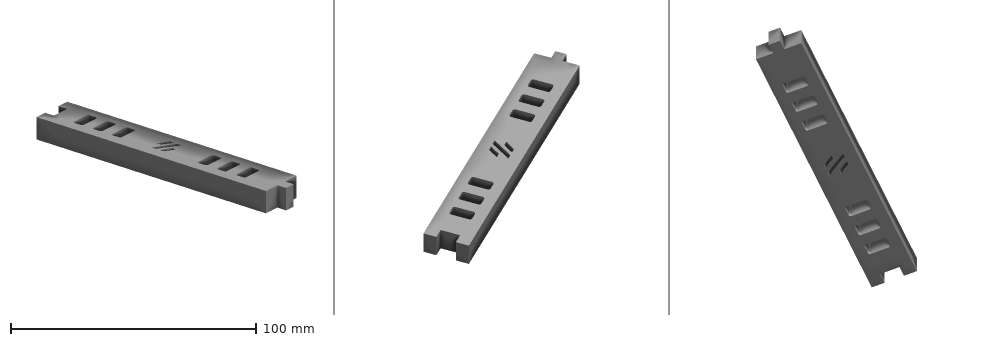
import cadquery as cq
import math

overall_length = 124.5
tab_length = 4.5
bar_length = overall_length - tab_length
bar_width = 20.0
bar_height = 10.0

tab_width = 5.0
notch_depth = 4.6
notch_width = 8.6

window_width = 5.0
window_length = 10.0
window_corner_radius = 1.0
window_pitch = 10.0
windows_per_side = 3
inner_window_x = 22.5

slant_angle = 32.5
long_slot_height = 9.3
slanted_slot_width = 2.2
slanted_slot_pitch = 4.0


def block(length, width, center_x):
    """Full-height block centred on the X axis of the bar."""
    return (
        cq.Workplane("XY")
        .center(center_x, 0)
        .rect(length, width)
        .extrude(bar_height)
    )


def window(center_x):
    """Cutter for one window with rounded vertical corners."""
    return block(window_width, window_length, center_x).edges("|Z").fillet(window_corner_radius)


def slanted_slot(axis_x, bottom_y, top_y):
    """Cutter for a slanted slot whose centreline crosses Y = 0 at axis_x."""
    slope = math.tan(math.radians(slant_angle))
    half_width = slanted_slot_width / 2
    bottom_x = axis_x + bottom_y * slope
    top_x = axis_x + top_y * slope
    outline = [
        (bottom_x - half_width, bottom_y),
        (bottom_x + half_width, bottom_y),
        (top_x + half_width, top_y),
        (top_x - half_width, top_y),
    ]
    return cq.Workplane("XY").polyline(outline).close().extrude(bar_height)


result = block(bar_length, bar_width, 0)
tab_tip_x = bar_length / 2 + tab_length
result = result.union(block(tab_tip_x, tab_width, tab_tip_x / 2))
result = result.cut(block(notch_depth, notch_width, (notch_depth - bar_length) / 2))

for side in (-1, 1):
    for index in range(windows_per_side):
        result = result.cut(window(side * (inner_window_x + index * window_pitch)))

half_height = long_slot_height / 2
result = result.cut(slanted_slot(0, -half_height, half_height))
result = result.cut(slanted_slot(-slanted_slot_pitch, 0, half_height))
result = result.cut(slanted_slot(slanted_slot_pitch, -half_height, 0))